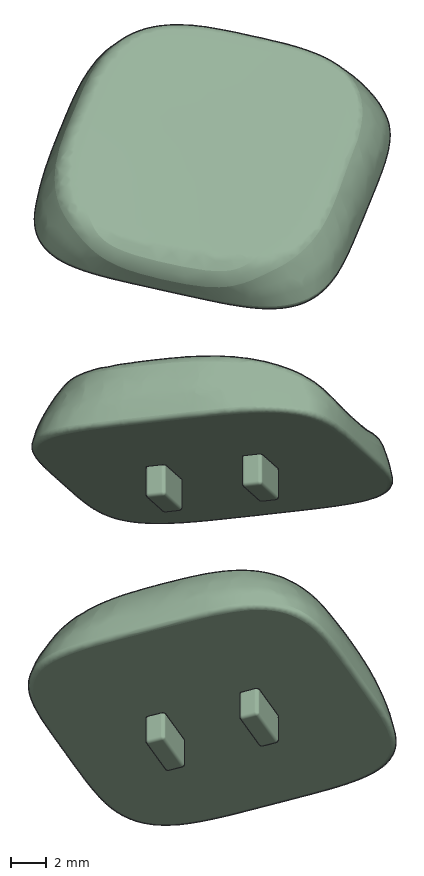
import cadquery as cq
import math

width = 17.97
depth = 17.95

wall_radius = 6.07
wall_start_height = 0.27
wall_top_height = 5.03
wall_level_count = 11
outline_point_count = 48
base_squareness = 4.5
squareness_loss_rate = 0.7234
roundest_height = 3.77
base_fillet = 0.29

dish_floor_height = 3.58
dish_radius = 29.47
dish_squareness = 3.0
rim_rise = 0.85
rim_sharpness = 8
trough_flattening = 0.9
slope_radius = 28.4
lip_start = 7.0
lip_radius = 2.52
rim_fillet = 1.4

cutter_half_size = 9.7
cutter_grid_steps = 36
cutter_thickness = 7.19

leg_width = 3.02
leg_thickness = 1.19
leg_length = 1.8
leg_spacing = 5.71
leg_fillet = 0.2
leg_overlap = 0.72


def wall_inset(height):
    """Distance the wall has curved inward at a height."""
    rise = max(0.0, height - wall_start_height)
    return wall_radius - math.sqrt(wall_radius**2 - rise**2)


def wall_outline(height):
    """Closed superellipse around the cap at a height."""
    half_width = width / 2 - wall_inset(height)
    half_depth = depth / 2 - wall_inset(height)
    roundness = height - height**2 / (2 * roundest_height)
    squareness = base_squareness - squareness_loss_rate * roundness
    points = []
    for index in range(outline_point_count):
        angle = 2 * math.pi * index / outline_point_count
        across = math.cos(angle)
        along = math.sin(angle)
        reach = (abs(across) ** squareness + abs(along) ** squareness) ** (-1 / squareness)
        points.append(cq.Vector(half_width * reach * across, half_depth * reach * along, height))
    return cq.Wire.assembleEdges([cq.Edge.makeSpline(points, periodic=True)])


def make_body():
    """Solid side wall, still without the dish."""
    step = wall_top_height / (wall_level_count - 1)
    levels = [wall_outline(step * index) for index in range(wall_level_count)]
    return cq.Workplane(cq.Solid.makeLoft(levels))


def level_off(rise):
    """Ease a rise of the dish so that it levels off at the rim instead of climbing on."""
    return rise / (1 + (rise / rim_rise) ** rim_sharpness) ** (1 / rim_sharpness)


def dish_height(x, y):
    """Height of the dish surface: a squared bowl behind y = 0, a falling trough in front of it."""
    if y >= 0:
        distance = (abs(x) ** dish_squareness + y**dish_squareness) ** (1 / dish_squareness)
        return dish_floor_height + level_off(distance**2 / (2 * dish_radius))
    trough_radius = dish_radius - trough_flattening * y
    past_lip = max(0.0, -y - lip_start)
    drop = y**2 / (2 * slope_radius) + past_lip**2 / (2 * lip_radius)
    return dish_floor_height + level_off(x**2 / (2 * trough_radius)) - drop


def make_dish_cutter():
    """Block whose underside is the dish surface."""
    step = 2 * cutter_half_size / cutter_grid_steps
    stations = [step * index - cutter_half_size for index in range(cutter_grid_steps + 1)]
    grid = [[cq.Vector(x, y, dish_height(x, y)) for y in stations] for x in stations]
    surface = cq.Face.makeSplineApprox(grid, tol=0.01, minDeg=3, maxDeg=5)
    return cq.Workplane(cq.Solid.extrudeLinear(surface, cq.Vector(0, 0, cutter_thickness)))


def make_leg(y):
    """Rounded leg centred at y that runs up into the cap."""
    return (
        cq.Workplane("XY")
        .box(leg_width, leg_thickness, leg_length + leg_overlap, centered=(True, True, False))
        .edges("|Z or <Z")
        .fillet(leg_fillet)
        .translate((0, y, -leg_length))
    )


cap = make_body().cut(make_dish_cutter())
cap = cap.faces("<Z").edges().fillet(base_fillet)
cap = cap.faces(">Z").edges().fillet(rim_fillet)

result = cap
for side in (-1, 1):
    result = result.union(make_leg(side * leg_spacing / 2))